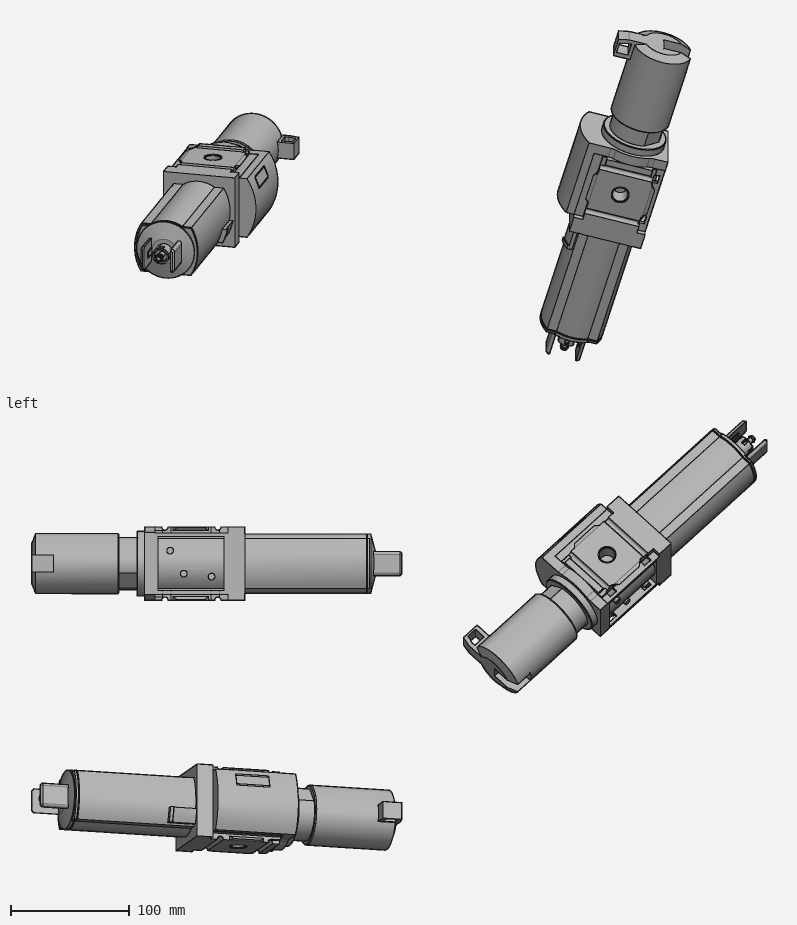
import cadquery as cq
import math


LENGTH = 312.0

BLOCK_LEFT = -31.0
BLOCK_RIGHT = 31.5
BLOCK_HALF_Z = 62.0 / 2
BLOCK_END_Y = 84.5
SHELF_START_Y = 14.0
SHELF_END_Y = 75.8
STRIP_HALF_Z = 26.2
SHELF_HALF_Z = 26.0
COLLAR_RADIUS = BLOCK_HALF_Z
COLLAR_FILLET = 9.5
SELECT_MARGIN = 0.3

PAD_HALF_X = 23.7
BAR_HALF_X = 20.0
PAD_CORNER_Z = 28.0
GROOVE_WIDTH = 5.0
GROOVE_DEPTH = 2.8
GROOVE_STARTS_Y = (20.3, 65.0)
PORT_DIAMETER = 13.0
PORT_RIM_DIAMETER = 15.0
PORT_RIM_DEPTH = 1.0
PORT_DEPTH = 15.5
PORT_Y = 45.5
TAB_REACH = 3.0
TAB_LENGTH = 30.0
TAB_BOTTOM_Z = 27.8
TAB_TIP_Z = 30.3
CLIP_HOLE_X = -25.3
CLIP_HOLE_WIDTH = 5.3
CLIP_HOLE_LENGTH = 7.5
CLIP_HOLES_Y = (25.0, 65.8)

WINDOW_START_Y = 17.5
WINDOW_END_Y = 73.3
WINDOW_HALF_Z = 22.8
WINDOW_DEPTH = 15.3
CORE_RADIUS = 29.3
CORE_HALF_Z = 42.0 / 2
PIN_DIAMETER = 5.5
PIN_END_X = -30.5
PIN_LENGTH = 12.5
PINS_YZ = ((63.0, 11.0), (51.5, -8.5), (28.0, -11.0))

COVER_EDGE_X = 38.5
COVER_RIGHT = 46.2
COVER_PANEL_LENGTH = 29.0
COVER_PANEL_X = (40.5, 44.3)
COVER_PANEL_DEPTH = 1.2

FLANGE_DIAMETER = 55.0
FLANGE_END_Y = 91.0
FLANGE_CHAMFER = 0.5
NECK_DIAMETER = 44.3
NECK_FLAT_DISTANCE = 20.3
NECK_FLAT_ANGLE = 45
NECK_END_Y = 106.0

KNOB_DIAMETER = 51.0
KNOB_END_Y = 179.7
KNOB_CONE_LENGTH = 3.5
KNOB_END_RADIUS = 17.0
KNOB_CHAMFER = 1.0
SLOT_WIDTH = 14.5
SLOT_START_Y = 161.3
BRACKET_LEFT = 0.0
BRACKET_SLOPE_X = 30.3
BRACKET_RIGHT = 39.0
BRACKET_DROP = 2.0
EYE_LEFT = 27.0
EYE_WALL = 2.0
EYE_BOTTOM_Y = 165.0
EYE_ROOF = 3.7

BOWL_DIAMETER = 50.2
GUARD_HALF_X = 27.5
GUARD_CORNER_X = 21.8
GUARD_HALF_Z = CORE_HALF_Z
GUARD_END_Y = -105.2
GUARD_WALL = 1.2
GUARD_POCKET_DEPTH = 2.5
GUARD_GROOVE_Y = -103.3
GUARD_GROOVE_WIDTH = 1.0
GUARD_GROOVE_DEPTH = 0.3
BOWL_END_Y = -106.0
CONE_END_RADIUS = 11.0
CONE_END_Y = -109.8

LATCH_Z = (-19.5, -7.2)
LATCH_HEIGHT = 3.0
LATCH_END_Y = -23.5
LATCH_LIP_LENGTH = 3.0
LATCH_LIP_HEIGHT = 4.5

DRAIN_TIP_Y = KNOB_END_Y - LENGTH
DRAIN_DIAMETER = 14.0
DRAIN_END_Y = -121.7
DRAIN_SLOT_WIDTH = 3.5
DRAIN_SLOT_DEPTH = 1.5
DRAIN_SLOT_Y = (-120.5, -116.5)
NIPPLE_DIAMETER = 5.0
NIPPLE_BORE = 3.7
NIPPLE_END_Y = -129.0
NIPPLE_RING_DIAMETER = 7.0
NIPPLE_RING_Y = -127.0
NIPPLE_RING_WIDTH = 0.5
WING_OUTER_X = 14.7
WING_THICKNESS = 3.0
WING_HALF_Z = 10.3
WING_FILLET = 2.5
WING_END_CHAMFER = 1.5
RIB_HEIGHT = 1.0
RIB_HALF_Z = 2.5
RIB_END_Y = -122.3


def box(x_range, y_range, z_range):
    """Box between the given coordinates."""
    spans = [x_range, y_range, z_range]
    sizes = [high - low for low, high in spans]
    return cq.Workplane().box(*sizes, centered=False).translate([low for low, _ in spans])


def section(start_y):
    """Sketch plane across the axis; extruding goes to -Y."""
    return cq.Workplane("XZ", origin=(0, start_y, 0))


def rod(diameter, low_y, high_y):
    """Cylinder on the main axis."""
    return section(high_y).circle(diameter / 2).extrude(high_y - low_y)


def guard_section(low_y, high_y, growth=0.0):
    """Guard shape: flat above and below, with arched sides; growth offsets the sides outward.

    A negative growth also lowers the flats; a positive one leaves them in place.
    """
    half_x = GUARD_HALF_X + growth
    corner_x = GUARD_CORNER_X + growth
    half_z = GUARD_HALF_Z + min(growth, 0)
    return (
        section(high_y)
        .moveTo(-corner_x, -half_z)
        .lineTo(corner_x, -half_z)
        .threePointArc((half_x, 0), (corner_x, half_z))
        .lineTo(-corner_x, half_z)
        .threePointArc((-half_x, 0), (-corner_x, -half_z))
        .close()
        .extrude(high_y - low_y)
    )


def both_faces(shape):
    """The shape on the upper shelf and its mirror image on the lower one."""
    return shape.union(shape.mirror("XY"))



def make_block():
    full_width = (BLOCK_LEFT, BLOCK_RIGHT)
    block = box(full_width, (0, SHELF_START_Y), (-BLOCK_HALF_Z, BLOCK_HALF_Z))
    shelf = box(full_width, (SHELF_START_Y, SHELF_END_Y), (-SHELF_HALF_Z, SHELF_HALF_Z))
    strip = box(full_width, (SHELF_END_Y, BLOCK_END_Y), (-STRIP_HALF_Z, STRIP_HALF_Z))
    collar = rod(2 * COLLAR_RADIUS, SHELF_END_Y, BLOCK_END_Y).intersect(
        box(full_width, (SHELF_END_Y, BLOCK_END_Y), (-BLOCK_HALF_Z, BLOCK_HALF_Z))
    )
    rear = strip.union(collar)
    corner_x = math.sqrt(COLLAR_RADIUS**2 - STRIP_HALF_Z**2)
    inner_corners = cq.selectors.BoxSelector(
        (-corner_x - SELECT_MARGIN, SHELF_END_Y, -STRIP_HALF_Z - SELECT_MARGIN),
        (corner_x + SELECT_MARGIN, BLOCK_END_Y, STRIP_HALF_Z + SELECT_MARGIN),
    )
    rear = rear.edges("|Y").edges(inner_corners).fillet(COLLAR_FILLET)
    return block.union(shelf).union(rear)


def make_cover():
    cover = (
        section(BLOCK_END_Y)
        .moveTo(BLOCK_RIGHT, -STRIP_HALF_Z)
        .lineTo(COVER_EDGE_X, -STRIP_HALF_Z)
        .threePointArc((COVER_RIGHT, 0), (COVER_EDGE_X, STRIP_HALF_Z))
        .lineTo(BLOCK_RIGHT, STRIP_HALF_Z)
        .close()
        .extrude(BLOCK_END_Y - SHELF_START_Y)
    )
    return cover.cut(make_cover_panel())


def make_cover_panel():
    """Shallow flat-bottomed recess in the upper part of the curved cover face."""
    bulge = COVER_RIGHT - COVER_EDGE_X
    radius = (STRIP_HALF_Z**2 + bulge**2) / (2 * bulge)
    center_x = COVER_RIGHT - radius
    inner_x, outer_x = COVER_PANEL_X

    def floor_z(x):
        return math.sqrt(radius**2 - (x - center_x) ** 2) - COVER_PANEL_DEPTH

    corners = [
        (inner_x, floor_z(inner_x)),
        (outer_x, floor_z(outer_x)),
        (outer_x, STRIP_HALF_Z),
        (inner_x, STRIP_HALF_Z),
    ]
    high_y = PORT_Y + COVER_PANEL_LENGTH / 2
    return section(high_y).polyline(corners).close().extrude(COVER_PANEL_LENGTH)


def make_pad():
    """Port pad with the narrower bar behind its rear groove and low corners beside the bar."""
    height = (SHELF_HALF_Z, BLOCK_HALF_Z)
    bar_start = GROOVE_STARTS_Y[1]
    pad = box((-PAD_HALF_X, PAD_HALF_X), (SHELF_START_Y, bar_start + GROOVE_DEPTH), height)
    bar = box((-BAR_HALF_X, BAR_HALF_X), (bar_start, SHELF_END_Y), height)
    corners = box(
        (-PAD_HALF_X, PAD_HALF_X), (bar_start, SHELF_END_Y), (SHELF_HALF_Z, PAD_CORNER_Z)
    )
    return both_faces(pad.union(bar).union(corners))


def make_grooves():
    """Rounded grooves across the pad."""
    grooves = cq.Workplane()
    for start_y in GROOVE_STARTS_Y:
        groove = (
            cq.Workplane("YZ", origin=(-PAD_HALF_X, 0, 0))
            .moveTo(start_y, BLOCK_HALF_Z)
            .threePointArc(
                (start_y + GROOVE_WIDTH / 2, BLOCK_HALF_Z - GROOVE_DEPTH),
                (start_y + GROOVE_WIDTH, BLOCK_HALF_Z),
            )
            .close()
            .extrude(2 * PAD_HALF_X)
        )
        grooves = grooves.add(groove)
    return both_faces(grooves.combine())


def make_tabs():
    """Wedge-shaped tabs with slanted ends on both sides of the pad."""
    half_length = TAB_LENGTH / 2
    tip_half_length = half_length - TAB_REACH
    tip_x = PAD_HALF_X + TAB_REACH
    outline = (
        cq.Workplane("XY", origin=(0, PORT_Y, TAB_BOTTOM_Z))
        .polyline(
            [
                (-PAD_HALF_X, -half_length),
                (PAD_HALF_X, -half_length),
                (tip_x, -tip_half_length),
                (tip_x, tip_half_length),
                (PAD_HALF_X, half_length),
                (-PAD_HALF_X, half_length),
                (-tip_x, tip_half_length),
                (-tip_x, -tip_half_length),
            ]
        )
        .close()
        .extrude(BLOCK_HALF_Z - TAB_BOTTOM_Z)
    )
    wedge = (
        section(PORT_Y + half_length)
        .polyline(
            [
                (-PAD_HALF_X, TAB_BOTTOM_Z),
                (PAD_HALF_X, TAB_BOTTOM_Z),
                (tip_x, TAB_TIP_Z),
                (PAD_HALF_X, BLOCK_HALF_Z),
                (-PAD_HALF_X, BLOCK_HALF_Z),
                (-tip_x, TAB_TIP_Z),
            ]
        )
        .close()
        .extrude(TAB_LENGTH)
    )
    return both_faces(outline.intersect(wedge))


def make_ports():
    """Ports with a shallow step around the mouth."""
    face = cq.Workplane("XY", origin=(0, PORT_Y, BLOCK_HALF_Z))
    hole = face.circle(PORT_DIAMETER / 2).extrude(-PORT_DEPTH)
    rim = face.circle(PORT_RIM_DIAMETER / 2).extrude(-PORT_RIM_DEPTH)
    return both_faces(hole.union(rim))


def make_clip_holes():
    """Rectangular holes from the shelves into the window."""
    return (
        cq.Workplane("XY", origin=(CLIP_HOLE_X, 0, 0))
        .pushPoints([(0, y) for y in CLIP_HOLES_Y])
        .rect(CLIP_HOLE_WIDTH, CLIP_HOLE_LENGTH)
        .extrude(BLOCK_HALF_Z, both=True)
    )


def make_window():
    return box(
        (BLOCK_LEFT, BLOCK_LEFT + WINDOW_DEPTH),
        (WINDOW_START_Y, WINDOW_END_Y),
        (-WINDOW_HALF_Z, WINDOW_HALF_Z),
    )


def make_window_core():
    """Round core behind the window, flat above and below."""
    limits = box(
        (BLOCK_LEFT, 0), (WINDOW_START_Y, WINDOW_END_Y), (-CORE_HALF_Z, CORE_HALF_Z)
    )
    return rod(2 * CORE_RADIUS, WINDOW_START_Y, WINDOW_END_Y).intersect(limits)


def make_window_pins():
    return (
        cq.Workplane("YZ", origin=(PIN_END_X, 0, 0))
        .pushPoints(PINS_YZ)
        .circle(PIN_DIAMETER / 2)
        .extrude(PIN_LENGTH)
    )


def make_neck():
    flange = rod(FLANGE_DIAMETER, BLOCK_END_Y, FLANGE_END_Y).faces(">Y").chamfer(FLANGE_CHAMFER)
    flats = box(
        (-NECK_DIAMETER, NECK_DIAMETER),
        (FLANGE_END_Y, NECK_END_Y),
        (-NECK_FLAT_DISTANCE, NECK_FLAT_DISTANCE),
    ).rotate((0, 0, 0), (0, 1, 0), NECK_FLAT_ANGLE)
    neck = rod(NECK_DIAMETER, FLANGE_END_Y, NECK_END_Y).intersect(flats)
    return flange.union(neck)


def make_housing():
    return (
        make_block()
        .union(make_pad())
        .cut(make_grooves())
        .union(make_tabs())
        .cut(make_clip_holes())
        .cut(make_window())
        .union(make_window_core())
        .union(make_window_pins())
        .cut(make_ports())
        .union(make_cover())
        .union(make_neck())
    )



def make_bracket():
    """Bracket that fills the knob slot and ends in a padlock eye."""
    slope_end_y = KNOB_END_Y - BRACKET_DROP
    plane = cq.Workplane("XY", origin=(0, 0, -SLOT_WIDTH / 2))
    plate = (
        plane.moveTo(BRACKET_LEFT, SLOT_START_Y)
        .lineTo(BRACKET_RIGHT, SLOT_START_Y)
        .lineTo(BRACKET_RIGHT, slope_end_y)
        .lineTo(BRACKET_SLOPE_X, KNOB_END_Y)
        .lineTo(BRACKET_LEFT, KNOB_END_Y)
        .close()
        .extrude(SLOT_WIDTH)
    )
    eye = (
        plane.moveTo(EYE_LEFT, EYE_BOTTOM_Y)
        .lineTo(BRACKET_RIGHT - EYE_WALL, EYE_BOTTOM_Y)
        .lineTo(BRACKET_RIGHT - EYE_WALL, slope_end_y - EYE_ROOF)
        .lineTo(BRACKET_SLOPE_X, KNOB_END_Y - EYE_ROOF)
        .lineTo(EYE_LEFT, KNOB_END_Y - EYE_ROOF)
        .close()
        .extrude(SLOT_WIDTH)
    )
    return plate.cut(eye)


def make_knob():
    radius = KNOB_DIAMETER / 2
    knob = (
        cq.Workplane("XY")
        .moveTo(0, NECK_END_Y)
        .lineTo(radius - KNOB_CHAMFER, NECK_END_Y)
        .lineTo(radius, NECK_END_Y + KNOB_CHAMFER)
        .lineTo(radius, KNOB_END_Y - KNOB_CONE_LENGTH)
        .lineTo(KNOB_END_RADIUS, KNOB_END_Y)
        .lineTo(0, KNOB_END_Y)
        .close()
        .revolve(360, (0, 0, 0), (0, 1, 0))
    )
    slot = box(
        (-KNOB_DIAMETER, KNOB_DIAMETER),
        (SLOT_START_Y, KNOB_END_Y),
        (-SLOT_WIDTH / 2, SLOT_WIDTH / 2),
    )
    return knob.cut(slot).union(make_bracket())



def make_guard():
    guard = guard_section(GUARD_END_Y, 0)
    pocket_start_y = GUARD_END_Y + GUARD_POCKET_DEPTH
    pocket = guard_section(GUARD_END_Y, pocket_start_y, -GUARD_WALL).intersect(
        box((-GUARD_HALF_X, 0), (GUARD_END_Y, 0), (-GUARD_HALF_Z, GUARD_HALF_Z))
    )
    return guard.cut(pocket)


def make_bowl_shell():
    """Round bowl with its conical end."""
    cone = (
        cq.Workplane("XY")
        .moveTo(0, BOWL_END_Y)
        .lineTo(BOWL_DIAMETER / 2, BOWL_END_Y)
        .lineTo(CONE_END_RADIUS, CONE_END_Y)
        .lineTo(0, CONE_END_Y)
        .close()
        .revolve(360, (0, 0, 0), (0, 1, 0))
    )
    return rod(BOWL_DIAMETER, BOWL_END_Y, 0).union(cone)


def make_end_groove():
    """Groove around guard and bowl near their end."""
    groove_end_y = GUARD_GROOVE_Y + GUARD_GROOVE_WIDTH
    inner_guard = guard_section(GUARD_GROOVE_Y, groove_end_y, -GUARD_GROOVE_DEPTH)
    inner_bowl = rod(BOWL_DIAMETER - 2 * GUARD_GROOVE_DEPTH, GUARD_GROOVE_Y, groove_end_y)
    outside = rod(4 * GUARD_HALF_X, GUARD_GROOVE_Y, groove_end_y)
    return outside.cut(inner_guard).cut(inner_bowl)


def make_latch():
    """Latch that follows the arched +X side of the guard, with a lip at its end."""
    lip_y = LATCH_END_Y + LATCH_LIP_LENGTH
    slider = guard_section(lip_y, 0, LATCH_HEIGHT)
    lip = guard_section(LATCH_END_Y, lip_y, LATCH_LIP_HEIGHT)
    side = box((0, 2 * GUARD_HALF_X), (LATCH_END_Y, 0), LATCH_Z)
    return slider.union(lip).intersect(side)


def make_drain():
    """Slotted collar with a bored nipple standing in its open end."""
    recess_diameter = DRAIN_DIAMETER - 2 * DRAIN_SLOT_DEPTH
    recess_end_y = DRAIN_SLOT_Y[1]
    recess = rod(recess_diameter, DRAIN_END_Y, recess_end_y)
    drain = rod(DRAIN_DIAMETER, DRAIN_END_Y, CONE_END_Y).cut(recess)
    slot = box(
        (NIPPLE_DIAMETER / 2, DRAIN_DIAMETER),
        DRAIN_SLOT_Y,
        (-DRAIN_SLOT_WIDTH / 2, DRAIN_SLOT_WIDTH / 2),
    )
    for angle in range(0, 360, 90):
        drain = drain.cut(slot.rotate((0, 0, 0), (0, 1, 0), angle))
    nipple = rod(NIPPLE_DIAMETER, NIPPLE_END_Y, recess_end_y)
    ring = rod(NIPPLE_RING_DIAMETER, NIPPLE_RING_Y, NIPPLE_RING_Y + NIPPLE_RING_WIDTH)
    bore = rod(NIPPLE_BORE, NIPPLE_END_Y, DRAIN_END_Y)
    return drain.union(nipple).union(ring).cut(bore)


def make_wings():
    """Two finger wings, each with a low rib on its inner face."""
    inner_x = WING_OUTER_X - WING_THICKNESS
    wing = (
        box((inner_x, WING_OUTER_X), (DRAIN_TIP_Y, BOWL_END_Y), (-WING_HALF_Z, WING_HALF_Z))
        .edges("|Y and >X")
        .fillet(WING_FILLET)
        .edges("|X and <Y")
        .chamfer(WING_END_CHAMFER)
    )
    rib = box((inner_x - RIB_HEIGHT, inner_x), (RIB_END_Y, BOWL_END_Y), (-RIB_HALF_Z, RIB_HALF_Z))
    wing = wing.union(rib)
    return wing.union(wing.mirror("YZ"))


def make_bowl():
    return (
        make_guard()
        .union(make_bowl_shell())
        .cut(make_end_groove())
        .union(make_latch())
        .union(make_drain())
        .union(make_wings())
    )


housing = make_housing().solids()
knob = make_knob().solids()
bowl = make_bowl().solids()
result = cq.Compound.makeCompound([housing.val(), knob.val(), bowl.val()])